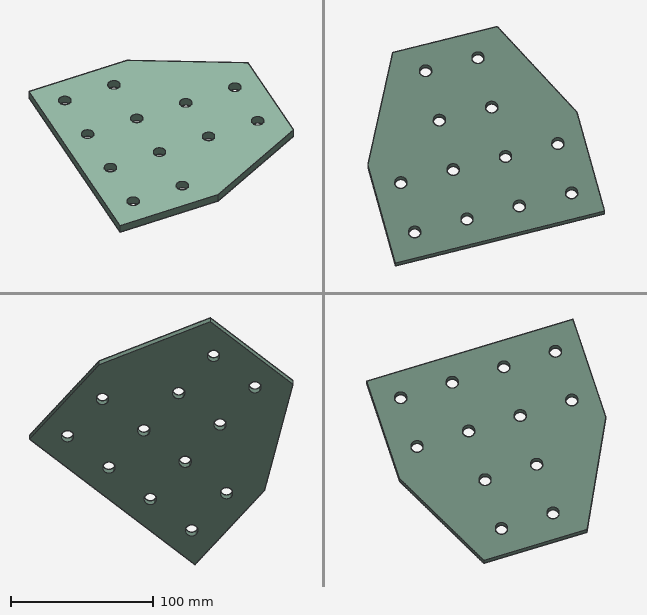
import cadquery as cq

side = 152.4
thickness = 6.4
hole_diameter = 8.7
columns = 4
pitch = side / columns

half_side = side / 2
half_top_edge = side / 4


def hole_row(count, y):
    """Centres of a row of holes, evenly spaced about the Y axis."""
    return [((i - (count - 1) / 2) * pitch, y) for i in range(count)]


plate = (
    cq.Workplane("XY")
    .polyline([
        (-half_side, -half_side),
        (half_side, -half_side),
        (half_side, 0),
        (half_top_edge, half_side),
        (-half_top_edge, half_side),
        (-half_side, 0),
    ])
    .close()
    .extrude(thickness)
)

hole_centres = []
for row, count in enumerate([columns, columns, columns // 2, columns // 2]):
    hole_centres += hole_row(count, -half_side + (row + 0.5) * pitch)

result = plate.faces(">Z").workplane(origin=(0, 0, 0)).pushPoints(hole_centres).hole(hole_diameter)